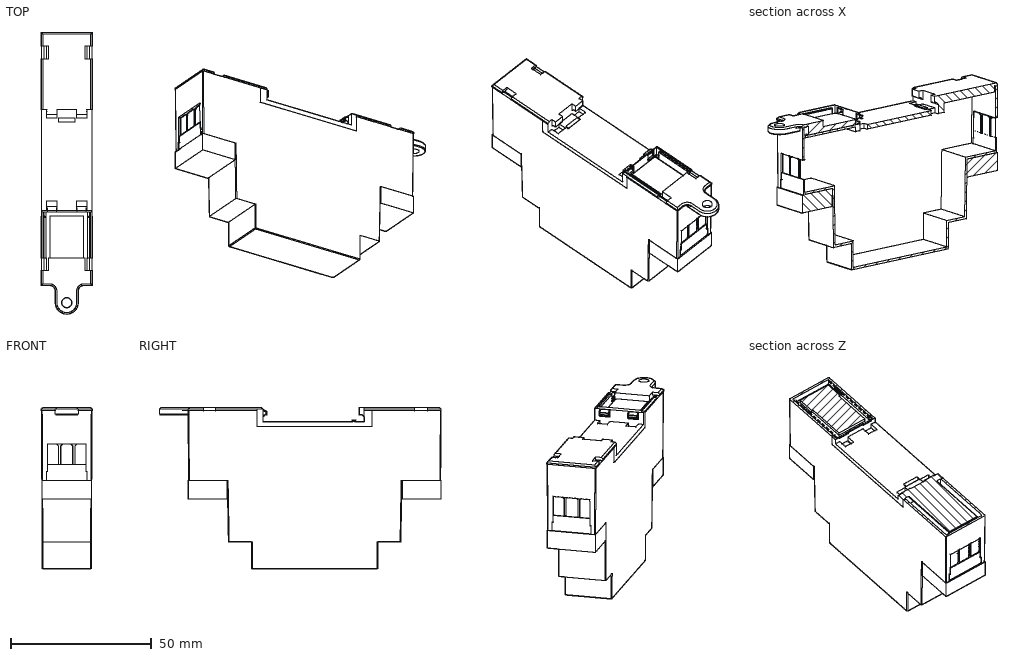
import cadquery as cq
import math

TOP_Z = 57.5
RIM_Z = 56.4
CHANNEL_Z = 52.5
SADDLE_Z = 50.7
SHOULDER_Z = 31.6
COVER_Z = 24.9
NOSE_Z = 9.7

OVERALL_LENGTH = 100.2
HALF_LENGTH = 45.0
SADDLE_HALF = 20.4
BODY_HALF = 31.1
BODY_HALF_LOW = 30.7
NOSE_HALF = 22.4
END_DRAFT = 0.2
RIM_HALF_WIDTH = 9.0
BOTTOM_HALF_WIDTH = 8.7
FLANGE_HALF_WIDTH = 18.1 / 2
WALL = 1.0
CORNER_CHAMFER = 0.3

WINDOW_HALF = 6.8
WINDOW_TOP = 44.5
FINGER_BASE = 37.3
EAR_HALF = 7.2
EAR_TOP = 34.7
FINGER_GAP = 0.7
FINGER_GAP_X = 5.1 / 2
FINGER_TIP_CHAMFER = 0.7
PANEL_RECESS = 0.3
FINGER_RECESS = 0.6

FIXED_WALL_Y = 17.6
LATCH_WALL_Y = -18.3
TOP_CHAMFER = 0.6
CLAW_INNER = 3.4
CLAW_OUTER = 7.1
HOOK_TIP_Y = 15.8
CLAW_Z = 54.9
CLAW_GUSSET = 0.8
NOSE_TIP_Y = -16.9
NOSE_TIP_TOP = 56.1
NOSE_ROOT_TOP = 57.1
NOSE_SKIN = 0.3
RECESS_END_Y = NOSE_TIP_Y - NOSE_SKIN
FIXED_HOLE_Y = 14.5
LATCH_HOLE_Y = -15.0
STOP_HALF = 3.0
STOP_Y = (13.2, 14.6)
STOP_HEIGHT = 0.5
STOP_DRAFT = 0.3
PAD_HALF = 6.4
PAD_Z = 54.1
PAD_END_Y = 43.6

TRAY_HALF = 7.4
TRAY_WALL = 0.4
TRAY_FLOOR_Z = 53.4
TRAY_BOTTOM_Z = 52.4
TRAY_INNER_Y = -18.9
TRAY_END_Y = -43.1
LEDGE_HALF = 8.1
LEDGE_Z = 56.8
LEDGE_INNER_Y = -20.6
LEDGE_END_Z = 53.9

PLATE_Y = -35.3
TONGUE_HALF = 5.9
TONGUE_Z = 55.3
TONGUE_Y = -20.2
TONGUE_END_Y = -42.1
TAB_RADIUS = 4.1
TAB_HOLE_RADIUS = 3.5 / 2
TAB_BOTTOM_Z = 54.9
TAB_FILLET = 2.0
TAB_TIP_Y = HALF_LENGTH - OVERALL_LENGTH
TAB_BOTTOM_CHAMFER = 0.3

NOTCH_INNER = PAD_HALF
FIXED_NOTCH_Y = (35.6, 40.1)
LATCH_NOTCH_Y = (-39.6, PLATE_Y)
CATCH_INNER = 7.1
CATCH_HEIGHT = 1.2

SIDES = (-1, 1)


def block(x_range, y_range, z_range):
    """Box given by its limits along each axis."""
    (x0, x1), (y0, y1), (z0, z1) = x_range, y_range, z_range
    return cq.Workplane(cq.Solid.makeBox(x1 - x0, y1 - y0, z1 - z0, cq.Vector(x0, y0, z0)))


def centred_block(half_width, y_range, z_range):
    return block((-half_width, half_width), y_range, z_range)


def side_block(side, inner, outer, y_range, z_range):
    """Box between two distances from the centre plane, on one side of it."""
    return block(sorted((side * inner, side * outer)), y_range, z_range)


def profile_yz(points, x0, x1):
    """Prism along X with an outline of (y, z) points."""
    return cq.Workplane("YZ").polyline(points).close().extrude(x1 - x0).translate((x0, 0, 0))


def stepped_prism(inset):
    """Stepped side outline with drafted widths; the inset moves every wall inwards."""
    half_outline = [
        (NOSE_HALF - inset, inset),
        (NOSE_HALF - inset, NOSE_Z + inset),
        (BODY_HALF_LOW - inset, NOSE_Z + inset),
        (BODY_HALF - inset, SHOULDER_Z + inset),
        (HALF_LENGTH - END_DRAFT - inset, SHOULDER_Z + inset),
        (HALF_LENGTH - inset, SADDLE_Z),
        (HALF_LENGTH - inset, RIM_Z),
        (SADDLE_HALF, RIM_Z),
        (SADDLE_HALF, SADDLE_Z),
    ]
    outline = half_outline + [(-y, z) for y, z in reversed(half_outline)]
    steps = profile_yz(outline, -RIM_HALF_WIDTH, RIM_HALF_WIDTH)
    low, high = BOTTOM_HALF_WIDTH - inset, RIM_HALF_WIDTH - inset
    draft = (
        cq.Workplane("XZ")
        .polyline([(-low, 0), (low, 0), (high, RIM_Z), (-high, RIM_Z)])
        .close()
        .extrude(HALF_LENGTH, both=True)
    )
    return steps.intersect(draft)


def window(end):
    """Terminal opening through one end wall, widened at its foot for the panel ears."""
    depth = sorted((end * (HALF_LENGTH - END_DRAFT - WALL), end * (HALF_LENGTH + WALL)))
    opening = centred_block(WINDOW_HALF, depth, (SHOULDER_Z, WINDOW_TOP))
    return opening.union(centred_block(EAR_HALF, depth, (SHOULDER_Z, EAR_TOP)))


def snap_catch(side, y_range):
    """Wedge on the inside of a housing side wall, just below the rim."""
    wall_x = RIM_HALF_WIDTH - WALL / 2
    return (
        cq.Workplane("XZ", origin=(0, y_range[1], 0))
        .polyline([
            (side * wall_x, RIM_Z),
            (side * (RIM_HALF_WIDTH - WALL), RIM_Z),
            (side * CATCH_INNER, RIM_Z - CATCH_HEIGHT / 2),
            (side * CATCH_INNER, RIM_Z - CATCH_HEIGHT),
            (side * wall_x, RIM_Z - CATCH_HEIGHT),
        ])
        .close()
        .extrude(y_range[1] - y_range[0])
    )


def is_end_corner(edge):
    """True for the upright edges at the ends of the tiers, false for those beside the saddle."""
    return edge.BoundingBox().zlen > CORNER_CHAMFER and abs(edge.Center().y) > SADDLE_HALF + CORNER_CHAMFER


def make_housing():
    shell = stepped_prism(0)
    upright_corners = [edge for edge in shell.edges().vals() if is_end_corner(edge)]
    shell = shell.newObject(upright_corners).chamfer(CORNER_CHAMFER)
    shell = shell.faces("<Z").edges().chamfer(CORNER_CHAMFER)
    shell = shell.cut(stepped_prism(WALL))
    for end in SIDES:
        shell = shell.cut(window(end))
    for side in SIDES:
        for y_range in (FIXED_NOTCH_Y, LATCH_NOTCH_Y):
            shell = shell.union(snap_catch(side, y_range))
    return shell


def make_cover(end):
    def span(inner, outer):
        return sorted((end * inner, end * outer))

    face_y = HALF_LENGTH - END_DRAFT
    back_y = face_y - WALL
    width = BOTTOM_HALF_WIDTH + (RIM_HALF_WIDTH - BOTTOM_HALF_WIDTH) * SHOULDER_Z / RIM_Z
    base = centred_block(width, span(BODY_HALF, HALF_LENGTH), (COVER_Z, SHOULDER_Z))
    panel_depth = span(back_y, face_y - PANEL_RECESS)
    panel = centred_block(WINDOW_HALF, panel_depth, (SHOULDER_Z, FINGER_BASE))
    ears = centred_block(EAR_HALF, panel_depth, (SHOULDER_Z, EAR_TOP))
    fingers = centred_block(WINDOW_HALF, span(back_y, face_y - FINGER_RECESS), (FINGER_BASE, WINDOW_TOP))
    for side in SIDES:
        gap_x = side * FINGER_GAP_X
        half_gap = FINGER_GAP / 2
        flare = half_gap + FINGER_TIP_CHAMFER
        gap = (
            cq.Workplane("XZ")
            .polyline([
                (gap_x - half_gap, FINGER_BASE),
                (gap_x + half_gap, FINGER_BASE),
                (gap_x + half_gap, WINDOW_TOP - FINGER_TIP_CHAMFER),
                (gap_x + flare, WINDOW_TOP),
                (gap_x - flare, WINDOW_TOP),
                (gap_x - half_gap, WINDOW_TOP - FINGER_TIP_CHAMFER),
            ])
            .close()
            .extrude(HALF_LENGTH, both=True)
        )
        fingers = fingers.cut(gap)
    return base.union(panel).union(ears).union(fingers)


def channel():
    """U-shaped rail channel seated in the housing saddle."""
    return profile_yz(
        [
            (-SADDLE_HALF, SADDLE_Z),
            (SADDLE_HALF, SADDLE_Z),
            (SADDLE_HALF, TOP_Z),
            (FIXED_WALL_Y, TOP_Z),
            (FIXED_WALL_Y, CHANNEL_Z),
            (LATCH_WALL_Y, CHANNEL_Z),
            (LATCH_WALL_Y, TOP_Z - TOP_CHAMFER),
            (LATCH_WALL_Y - TOP_CHAMFER, TOP_Z),
            (-SADDLE_HALF, TOP_Z),
        ],
        -RIM_HALF_WIDTH,
        RIM_HALF_WIDTH,
    )


def edge_bevel(side):
    """Wedge that bevels one long top edge of the foot."""
    edge = side * FLANGE_HALF_WIDTH
    return (
        cq.Workplane("XZ")
        .polyline([(edge, TOP_Z - TOP_CHAMFER), (edge, TOP_Z), (edge - side * TOP_CHAMFER, TOP_Z)])
        .close()
        .extrude(HALF_LENGTH, both=True)
    )


def fixed_hook(side):
    outline = [
        (FIXED_WALL_Y, TOP_Z),
        (HOOK_TIP_Y, TOP_Z),
        (HOOK_TIP_Y, CLAW_Z),
        (FIXED_WALL_Y - CLAW_GUSSET, CLAW_Z),
        (FIXED_WALL_Y, CLAW_Z - CLAW_GUSSET),
    ]
    return profile_yz(outline, *sorted((side * CLAW_INNER, side * CLAW_OUTER)))


def latch_nose(side):
    outline = [
        (LATCH_WALL_Y, NOSE_ROOT_TOP - TOP_CHAMFER / 2),
        (NOSE_TIP_Y, NOSE_TIP_TOP),
        (NOSE_TIP_Y, CLAW_Z),
        (LATCH_WALL_Y + CLAW_GUSSET, CLAW_Z),
        (LATCH_WALL_Y, CLAW_Z - CLAW_GUSSET),
    ]
    return profile_yz(outline, *sorted((side * CLAW_INNER, side * CLAW_OUTER)))


def latch_recess(side):
    """Hollow behind a latch nose, open towards the tray, with a ramp rising to the nose."""
    outline = [
        (TRAY_INNER_Y, CLAW_Z - CLAW_GUSSET),
        (RECESS_END_Y, CLAW_Z + NOSE_SKIN),
        (RECESS_END_Y, NOSE_TIP_TOP - NOSE_SKIN),
        (TRAY_INNER_Y, NOSE_ROOT_TOP - NOSE_SKIN),
    ]
    inner, outer = CLAW_INNER + NOSE_SKIN, CLAW_OUTER - NOSE_SKIN
    return profile_yz(outline, *sorted((side * inner, side * outer)))


def stop_rib():
    """Low rib across the channel floor, wider at its crest than at its root."""
    y0, y1 = STOP_Y
    crest_z = CHANNEL_Z + STOP_HEIGHT
    outline = [
        (y0 + STOP_DRAFT, CHANNEL_Z),
        (y1 - STOP_DRAFT, CHANNEL_Z),
        (y1, crest_z),
        (y0, crest_z),
    ]
    return profile_yz(outline, -STOP_HALF, STOP_HALF)


def tray(foot):
    """Sunken tray that guides the slider, with a ledge along both sides."""
    outer = TRAY_HALF + TRAY_WALL
    outer_y = (TRAY_END_Y - TRAY_WALL, LATCH_WALL_Y - TOP_CHAMFER)
    inner_y = (TRAY_END_Y, TRAY_INNER_Y)
    foot = foot.union(centred_block(outer, outer_y, (TRAY_BOTTOM_Z, RIM_Z)))
    foot = foot.cut(centred_block(TRAY_HALF, inner_y, (TRAY_FLOOR_Z, TOP_Z)))
    foot = foot.cut(centred_block(LEDGE_HALF, (PLATE_Y, TRAY_INNER_Y), (LEDGE_Z, TOP_Z)))
    return foot.cut(centred_block(LEDGE_HALF, (LEDGE_INNER_Y, TRAY_INNER_Y), (LEDGE_END_Z, TOP_Z)))


def make_foot():
    foot = channel()
    flange_z = (RIM_Z, TOP_Z)
    end_flange = centred_block(FLANGE_HALF_WIDTH, (FIXED_WALL_Y, HALF_LENGTH), flange_z)
    end_flange = end_flange.edges(">Y and >Z").chamfer(TOP_CHAMFER)
    foot = foot.union(end_flange)
    foot = foot.union(centred_block(FLANGE_HALF_WIDTH, (PLATE_Y, -SADDLE_HALF), flange_z))
    foot = foot.union(centred_block(PAD_HALF, (SADDLE_HALF, PAD_END_Y), (PAD_Z, RIM_Z)))
    foot = tray(foot).union(stop_rib())
    for side in SIDES:
        foot = foot.cut(edge_bevel(side))
        foot = foot.union(fixed_hook(side)).union(latch_nose(side)).cut(latch_recess(side))
        for y_range in ((FIXED_HOLE_Y, FIXED_WALL_Y), (LATCH_WALL_Y, LATCH_HOLE_Y)):
            foot = foot.cut(side_block(side, CLAW_INNER, CLAW_OUTER, y_range, (SADDLE_Z, CHANNEL_Z)))
        for y_range in (FIXED_NOTCH_Y, LATCH_NOTCH_Y):
            foot = foot.cut(side_block(side, NOTCH_INNER, FLANGE_HALF_WIDTH, y_range, (PAD_Z, TOP_Z)))
    return foot


def slider_outline(z):
    """End plate and pull tab, with a round tip and concave fillets at the root of the tab."""
    centre_y = TAB_TIP_Y + TAB_RADIUS
    fillet_x = TAB_RADIUS + TAB_FILLET
    fillet_y = -HALF_LENGTH - TAB_FILLET
    bulge = TAB_FILLET * (1 - math.sqrt(0.5))
    return (
        cq.Workplane("XY", origin=(0, 0, z))
        .moveTo(-FLANGE_HALF_WIDTH, PLATE_Y)
        .lineTo(-FLANGE_HALF_WIDTH, -HALF_LENGTH)
        .lineTo(-fillet_x, -HALF_LENGTH)
        .threePointArc((-TAB_RADIUS - bulge, -HALF_LENGTH - bulge), (-TAB_RADIUS, fillet_y))
        .lineTo(-TAB_RADIUS, centre_y)
        .threePointArc((0, TAB_TIP_Y), (TAB_RADIUS, centre_y))
        .lineTo(TAB_RADIUS, fillet_y)
        .threePointArc((TAB_RADIUS + bulge, -HALF_LENGTH - bulge), (fillet_x, -HALF_LENGTH))
        .lineTo(FLANGE_HALF_WIDTH, -HALF_LENGTH)
        .lineTo(FLANGE_HALF_WIDTH, PLATE_Y)
        .close()
    )


def make_slider():
    plate = slider_outline(RIM_Z).extrude(TOP_Z - RIM_Z)
    plate = plate.faces(">Z").edges("not >Y").chamfer(TOP_CHAMFER)
    tab_length = TAB_TIP_Y + TAB_RADIUS + HALF_LENGTH
    tab = (
        cq.Workplane("XY", origin=(0, -HALF_LENGTH, TAB_BOTTOM_Z))
        .moveTo(-TAB_RADIUS, 0)
        .lineTo(-TAB_RADIUS, tab_length)
        .threePointArc((0, TAB_TIP_Y + HALF_LENGTH), (TAB_RADIUS, tab_length))
        .lineTo(TAB_RADIUS, 0)
        .close()
        .extrude(RIM_Z - TAB_BOTTOM_Z)
    )
    tab = tab.faces("<Z").edges("not >Y").chamfer(TAB_BOTTOM_CHAMFER)
    slider = plate.union(tab)
    tongue_y = (TONGUE_END_Y, TONGUE_Y)
    slider = slider.union(centred_block(TONGUE_HALF, tongue_y, (TRAY_FLOOR_Z, TONGUE_Z)))
    slider = slider.union(centred_block(PAD_HALF, (TONGUE_END_Y, PLATE_Y), (TRAY_FLOOR_Z, RIM_Z)))
    for side in SIDES:
        notch = side_block(side, NOTCH_INNER, FLANGE_HALF_WIDTH, LATCH_NOTCH_Y, (RIM_Z, TOP_Z))
        slider = slider.cut(notch)
    hole = (
        cq.Workplane("XY", origin=(0, TAB_TIP_Y + TAB_RADIUS, TAB_BOTTOM_Z))
        .circle(TAB_HOLE_RADIUS)
        .extrude(TOP_Z - TAB_BOTTOM_Z)
    )
    return slider.cut(hole)


housing = make_housing()
foot = make_foot()
slider = make_slider()
covers = [make_cover(end) for end in SIDES]

result = cq.Compound.makeCompound(
    [body.solids().val() for body in (housing, foot, slider, *covers)]
)